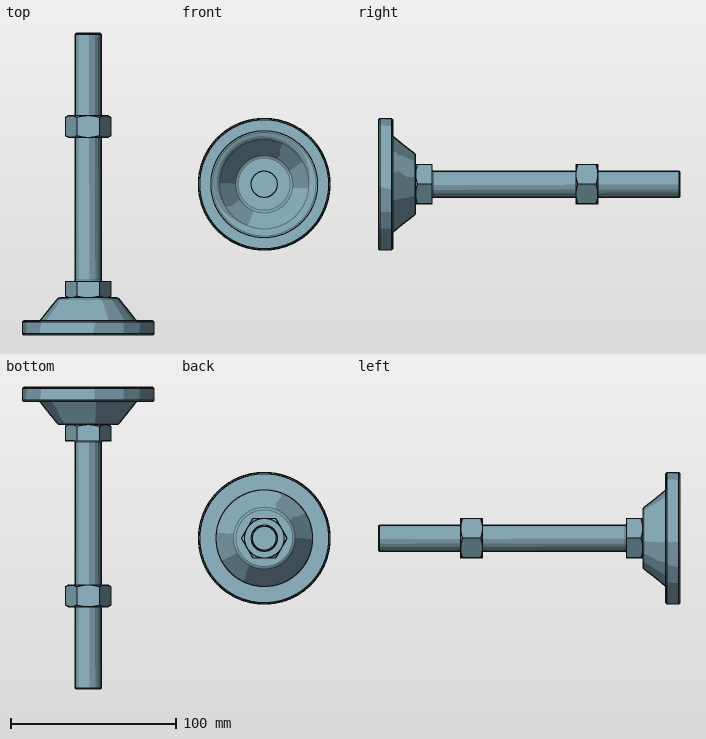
import cadquery as cq
import math


overall_length = 183.0
stud_diameter = 16.0
stud_radius = stud_diameter / 2
stud_tip_y = 9.9
stud_end_chamfer = 0.7
shoulder_fillet = 1.0

across_flats = 24.0
across_corners = across_flats / math.cos(math.radians(30))
hex_bevel_angle = 30.0
collar_height = 9.9
nut_height = 13.2
nut_y = 119.9

sheet = 3.0
cup_top_y = 22.7
cone_angle = 38.6
cone_base_radius = 29.3
crown_fillet = 2.0
brim_inner_fillet = 5.5
brim_radius = 35.7
brim_bottom_y = 4.8

pad_diameter = 80.0
pad_radius = pad_diameter / 2
pad_height = 8.8
pad_bore_radius = 32.4
pad_chamfer = 1.0


def cylinder(radius, y_start, y_end):
    """Cylinder on the Y axis between two heights."""
    plane = cq.Workplane("XZ", origin=(0, y_start, 0))
    return plane.circle(radius).extrude(y_start - y_end)


def hexagon(y_start, height):
    """Hexagonal prism on the Y axis, corners on the X axis."""
    plane = cq.Workplane("XZ", origin=(0, y_start, 0))
    return plane.polygon(6, across_corners).extrude(-height)


def beveled_hexagon(y_start, height, bevel_far_end):
    """Hexagon whose corners are turned off by a cone at the near end and, if wanted, the far end."""
    corner_radius = across_corners / 2
    flat_radius = across_flats / 2
    bevel_width = corner_radius - flat_radius
    bevel_depth = bevel_width * math.tan(math.radians(hex_bevel_angle))
    bevel_ends = "<Y or >Y" if bevel_far_end else "<Y"
    envelope = cylinder(corner_radius, y_start, y_start + height)
    envelope = envelope.faces(bevel_ends).chamfer(bevel_depth, bevel_width)
    return hexagon(y_start, height).intersect(envelope)


def make_stud():
    """Round stud with a hexagonal collar that rests on the crown of the cup."""
    shank = cylinder(stud_radius, stud_tip_y, overall_length)
    shank = shank.faces(">Y").chamfer(stud_end_chamfer)
    collar = beveled_hexagon(cup_top_y, collar_height, bevel_far_end=False)
    collar_top_y = cup_top_y + collar_height
    shoulder = (
        cq.Workplane("XY")
        .moveTo(0, collar_top_y)
        .lineTo(stud_radius + shoulder_fillet, collar_top_y)
        .radiusArc((stud_radius, collar_top_y + shoulder_fillet), shoulder_fillet)
        .lineTo(0, collar_top_y + shoulder_fillet)
        .close()
        .revolve(360, (0, 0, 0), (0, 1, 0))
    )
    return shank.union(collar).union(shoulder)


def make_lock_nut():
    """Hexagon nut, bevelled at both ends, on the shank."""
    nut = beveled_hexagon(nut_y, nut_height, bevel_far_end=True)
    return nut.cut(cylinder(stud_radius, nut_y, nut_y + nut_height))


def cup_form(offset, brim_fillet):
    """Solid under one skin of the cup, lying the offset inside the outer skin."""
    angle = math.radians(cone_angle)
    crown_y = cup_top_y - offset
    brim_y = brim_bottom_y + sheet - offset

    def cone_radius(y):
        outer_radius = cone_base_radius + (pad_height - y) * math.tan(angle)
        return outer_radius - offset / math.cos(angle)

    half_turn = (math.pi / 2 - angle) / 2
    crown_tangent = crown_fillet * math.tan(half_turn)
    brim_tangent = brim_fillet * math.tan(half_turn)
    along_r = math.sin(angle)
    along_y = math.cos(angle)
    crown_corner = cone_radius(crown_y)
    brim_corner = cone_radius(brim_y)
    crown_start = (crown_corner - crown_tangent, crown_y)
    crown_end = (crown_corner + crown_tangent * along_r, crown_y - crown_tangent * along_y)
    brim_start = (brim_corner - brim_tangent * along_r, brim_y + brim_tangent * along_y)
    brim_end = (brim_corner + brim_tangent, brim_y)
    return (
        cq.Workplane("XY")
        .moveTo(0, crown_y)
        .lineTo(*crown_start)
        .radiusArc(crown_end, crown_fillet)
        .lineTo(*brim_start)
        .radiusArc(brim_end, -brim_fillet)
        .lineTo(0, brim_y)
        .close()
        .revolve(360, (0, 0, 0), (0, 1, 0))
    )


def make_cup_blank():
    """Outer form of the cup, not yet hollow."""
    brim = cylinder(brim_radius, brim_bottom_y, brim_bottom_y + sheet)
    dome = cup_form(0, brim_inner_fillet - sheet)
    return brim.union(dome)


def make_cup():
    """Conical sheet cup with a flat brim and a hole for the stud."""
    hollow = cup_form(sheet, brim_inner_fillet)
    stud_hole = cylinder(stud_radius, brim_bottom_y, cup_top_y)
    return make_cup_blank().cut(hollow).cut(stud_hole)


def make_pad():
    """Ring that wraps the brim and closes against the foot of the cone."""
    disc = cylinder(pad_radius, 0, pad_height).edges().chamfer(pad_chamfer)
    bore = cylinder(pad_bore_radius, 0, brim_bottom_y)
    return disc.cut(bore).cut(make_cup_blank())


stud = make_stud()
lock_nut = make_lock_nut()
cup = make_cup()
pad = make_pad()

bodies = [stud, lock_nut, cup, pad]
result = cq.Compound.makeCompound([body.solids().val() for body in bodies])